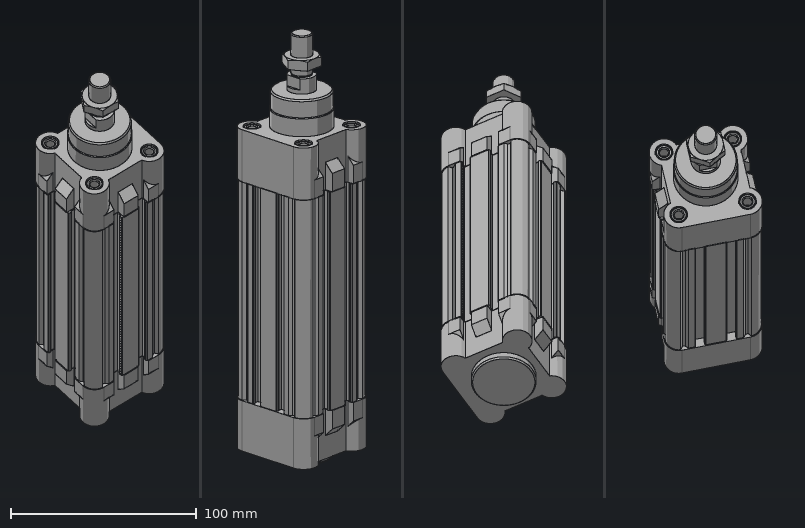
import cadquery as cq
import math


TOTAL_LENGTH = 243.0
WIDTH = 54.0
HALF_WIDTH = WIDTH / 2
BOSS_RADIUS = 8.0
BOSS_OFFSET = HALF_WIDTH - BOSS_RADIUS

BOTTOM_CAP_Z = 4.4
BARREL_BOTTOM_Z = 33.5
BARREL_TOP_Z = 159.5
TOP_CAP_Z = 189.5
COLLAR_TOP_Z = 210.5

RECESS_DEPTH = 5.0
RECESS_HALF = HALF_WIDTH - RECESS_DEPTH
LUG_LENGTH = 10.7
RIB_LUG_HALF = 4.9
CORNER_LUG_INNER = 12.0

COLLAR_DIAMETER = 35.0
COLLAR_UPPER_DIAMETER = 34.0
COLLAR_STEP_Z = 200.2
COLLAR_STEP = (COLLAR_DIAMETER - COLLAR_UPPER_DIAMETER) / 2
COLLAR_CHAMFER_WIDTH = 0.7
COLLAR_CHAMFER_HEIGHT = 1.0

BARREL_INSET = 0.5
BARREL_HALF = HALF_WIDTH - BARREL_INSET
BARREL_CORNER_RADIUS = BOSS_RADIUS - BARREL_INSET
SLOT_INNER = 6.0
SLOT_OUTER = 11.2
SLOT_CHAMFER = 0.5
SLOT_LIP = 2.0
SLOT_DEPTH = 4.4
SLOT_UNDERCUT = 0.5
GROOVE_INNER = 15.0
GROOVE_OUTER = 19.5
GROOVE_SHOULDER = 1.5
GROOVE_SHOULDER_DEPTH = 1.5
GROOVE_WALL = 1.5
GROOVE_DEPTH = 2.0

SCREW_BORE_DIAMETER = 9.5
SCREW_BORE_DEPTH = 5.3
SCREW_HEAD_DIAMETER = 9.0
SCREW_HEAD_EDGE_DIAMETER = 8.0
SCREW_HEAD_HEIGHT = 4.9
SCREW_HOLE_MOUTH_DIAMETER = 6.0
SCREW_HOLE_DIAMETER = 4.9
SCREW_HOLE_DEPTH = 9.7
DRILL_POINT_HEIGHT = 1.5

ROD_DIAMETER = 16.0
ROD_SHOULDER_Z = 219.2
FLATS_BOTTOM_Z = 212.9
FLATS_WIDTH = 13.0
THREAD_DIAMETER = 12.0
THREAD_TIP_DIAMETER = 10.7
THREAD_NECK_DIAMETER = 11.5
THREAD_NECK_HEIGHT = 0.7
THREAD_CHAMFER = (THREAD_DIAMETER - THREAD_TIP_DIAMETER) / 2

NUT_BOTTOM_Z = 224.5
NUT_HEIGHT = 5.8
NUT_ACROSS_FLATS = 19.0
NUT_ACROSS_CORNERS = NUT_ACROSS_FLATS / math.cos(math.radians(30))
NUT_CHAMFER_ANGLE = 25

QUARTER_TURNS = (0, 90, 180, 270)
RECESSED_SIDES = (0, 90, 270)
CORNERS = [(sx * BOSS_OFFSET, sy * BOSS_OFFSET) for sx in (-1, 1) for sy in (-1, 1)]
Z_AXIS = ((0, 0, 0), (0, 0, 1))


def cylinder(diameter, bottom, top):
    return cq.Workplane("XY").workplane(offset=bottom).circle(diameter / 2).extrude(top - bottom)


def box_between(x0, x1, y0, y1, z0, z1):
    return cq.Workplane("XY").box(x1 - x0, y1 - y0, z1 - z0, centered=False).translate((x0, y0, z0))


def lug(x0, x1, joint_z, direction):
    """Lug on the -Y side, running from the barrel joint up (+1) or down (-1) to a 45 degree slope."""
    full_z = joint_z + direction * LUG_LENGTH
    return (
        cq.Workplane("YZ")
        .workplane(offset=x0)
        .moveTo(-RECESS_HALF, joint_z)
        .lineTo(-HALF_WIDTH, joint_z)
        .lineTo(-HALF_WIDTH, full_z)
        .lineTo(-RECESS_HALF, full_z + direction * RECESS_DEPTH)
        .close()
        .extrude(x1 - x0)
    )


def end_cap(bottom, top, joint_z, direction):
    """Cap with round corner bosses and, on three sides, recessed faces that carry lugs."""
    cap = box_between(-RECESS_HALF, RECESS_HALF, -RECESS_HALF, RECESS_HALF, bottom, top)
    cap = cap.union(box_between(-BOSS_OFFSET, BOSS_OFFSET, 0, HALF_WIDTH, bottom, top))
    for x, y in CORNERS:
        cap = cap.union(cylinder(2 * BOSS_RADIUS, bottom, top).translate((x, y, 0)))
    lug_spans = (
        (-BOSS_OFFSET, -CORNER_LUG_INNER),
        (-RIB_LUG_HALF, RIB_LUG_HALF),
        (CORNER_LUG_INNER, BOSS_OFFSET),
    )
    for x0, x1 in lug_spans:
        side_lug = lug(x0, x1, joint_z, direction)
        for turn in RECESSED_SIDES:
            cap = cap.union(side_lug.rotate(*Z_AXIS, turn))
    return cap


def barrel_slot():
    """Outline of the undercut slot on the -Y side, right of the middle rib; its lips have chamfered edges."""
    face = -BARREL_HALF
    lip_bottom = face + SLOT_LIP
    return [
        (SLOT_INNER - SLOT_CHAMFER, face),
        (SLOT_INNER, face + SLOT_CHAMFER),
        (SLOT_INNER, lip_bottom),
        (SLOT_INNER - SLOT_UNDERCUT, lip_bottom),
        (SLOT_INNER - SLOT_UNDERCUT, face + SLOT_DEPTH),
        (SLOT_OUTER + SLOT_UNDERCUT, face + SLOT_DEPTH),
        (SLOT_OUTER + SLOT_UNDERCUT, lip_bottom),
        (SLOT_OUTER, lip_bottom),
        (SLOT_OUTER, face + SLOT_CHAMFER),
        (SLOT_OUTER + SLOT_CHAMFER, face),
    ]


def corner_groove():
    """Outline of the shallow three-sided groove on the -Y side, next to the right corner."""
    face = -BARREL_HALF
    return [
        (GROOVE_INNER, face),
        (GROOVE_INNER + GROOVE_SHOULDER, face + GROOVE_SHOULDER_DEPTH),
        (GROOVE_OUTER - GROOVE_WALL, face + GROOVE_DEPTH),
        (GROOVE_OUTER, face),
    ]


def make_barrel():
    length = BARREL_TOP_Z - BARREL_BOTTOM_Z
    base = cq.Workplane("XY").workplane(offset=BARREL_BOTTOM_Z)
    barrel = base.rect(2 * BARREL_HALF, 2 * BARREL_HALF).extrude(length)
    barrel = barrel.edges("|Z").fillet(BARREL_CORNER_RADIUS)
    for outline in (barrel_slot(), corner_groove()):
        right_cut = base.polyline(outline).close().extrude(length)
        left_cut = right_cut.mirror("YZ")
        for turn in QUARTER_TURNS:
            barrel = barrel.cut(right_cut.rotate(*Z_AXIS, turn))
            barrel = barrel.cut(left_cut.rotate(*Z_AXIS, turn))
    return barrel


def bottom_collar():
    collar = cylinder(COLLAR_DIAMETER, 0, BOTTOM_CAP_Z)
    return collar.faces("<Z").chamfer(COLLAR_CHAMFER_HEIGHT, COLLAR_CHAMFER_WIDTH)


def top_collar():
    """Cylinder whose upper part is slightly narrower, above a chamfered step."""
    lower = cylinder(COLLAR_DIAMETER, TOP_CAP_Z, COLLAR_STEP_Z).faces(">Z").chamfer(COLLAR_STEP)
    upper = cylinder(COLLAR_UPPER_DIAMETER, COLLAR_STEP_Z, COLLAR_TOP_Z)
    return lower.union(upper.faces(">Z").chamfer(COLLAR_CHAMFER_HEIGHT, COLLAR_CHAMFER_WIDTH))


def screw_cavity():
    """Space around one tie screw: the counterbore less the head, with the head's blind hole."""
    floor = TOP_CAP_Z - SCREW_BORE_DEPTH
    head_top = floor + SCREW_HEAD_HEIGHT
    head_chamfer = (SCREW_HEAD_DIAMETER - SCREW_HEAD_EDGE_DIAMETER) / 2
    mouth_radius = SCREW_HOLE_MOUTH_DIAMETER / 2
    hole_radius = SCREW_HOLE_DIAMETER / 2
    hole_bottom = head_top - SCREW_HOLE_DEPTH
    head = cylinder(SCREW_HEAD_DIAMETER, floor, head_top).faces(">Z").chamfer(head_chamfer)
    hole = (
        cq.Workplane("XZ")
        .moveTo(0, head_top)
        .lineTo(mouth_radius, head_top)
        .lineTo(hole_radius, head_top - (mouth_radius - hole_radius))
        .lineTo(hole_radius, hole_bottom)
        .lineTo(0, hole_bottom - DRILL_POINT_HEIGHT)
        .close()
        .revolve(360, (0, 0, 0), (0, 1, 0))
    )
    return cylinder(SCREW_BORE_DIAMETER, floor, TOP_CAP_Z).cut(head).union(hole)


def make_housing():
    housing = (
        make_barrel()
        .union(end_cap(BOTTOM_CAP_Z, BARREL_BOTTOM_Z, BARREL_BOTTOM_Z, -1))
        .union(end_cap(BARREL_TOP_Z, TOP_CAP_Z, BARREL_TOP_Z, 1))
        .union(bottom_collar())
        .union(top_collar())
    )
    for x, y in CORNERS:
        housing = housing.cut(screw_cavity().translate((x, y, 0)))
    rod_hole = cylinder(ROD_DIAMETER, TOP_CAP_Z, COLLAR_TOP_Z)
    return housing.cut(rod_hole)


def make_piston_rod():
    """Rod seated in the top collar, with two wrench flats and a threaded end."""
    rod = cylinder(ROD_DIAMETER, TOP_CAP_Z, ROD_SHOULDER_Z)
    radius = ROD_DIAMETER / 2
    flat_cut = box_between(-radius, radius, FLATS_WIDTH / 2, radius, FLATS_BOTTOM_Z, ROD_SHOULDER_Z)
    rod = rod.cut(flat_cut).cut(flat_cut.mirror("XZ"))
    thread_start_z = ROD_SHOULDER_Z + THREAD_NECK_HEIGHT
    neck = cylinder(THREAD_NECK_DIAMETER, ROD_SHOULDER_Z, thread_start_z)
    thread = cylinder(THREAD_DIAMETER, thread_start_z, TOTAL_LENGTH).faces(">Z").chamfer(THREAD_CHAMFER)
    return rod.union(neck).union(thread)


def make_nut():
    """Hexagon nut with corners on the Y axis and a conical chamfer on its top face."""
    top = NUT_BOTTOM_Z + NUT_HEIGHT
    flat_radius = NUT_ACROSS_FLATS / 2
    corner_radius = NUT_ACROSS_CORNERS / 2
    corner_drop = (corner_radius - flat_radius) * math.tan(math.radians(NUT_CHAMFER_ANGLE))
    hexagon = (
        cq.Workplane("XY")
        .workplane(offset=NUT_BOTTOM_Z)
        .polygon(6, NUT_ACROSS_CORNERS)
        .extrude(NUT_HEIGHT)
        .rotate(*Z_AXIS, 90)
    )
    chamfered_blank = (
        cylinder(NUT_ACROSS_CORNERS, NUT_BOTTOM_Z, top)
        .faces(">Z")
        .chamfer(corner_drop, corner_radius - flat_radius)
    )
    thread_hole = cylinder(THREAD_DIAMETER, NUT_BOTTOM_Z, top)
    return hexagon.intersect(chamfered_blank).cut(thread_hole)


housing = make_housing()
piston_rod = make_piston_rod()
nut = make_nut()

result = cq.Compound.makeCompound([housing.val(), piston_rod.val(), nut.val()])